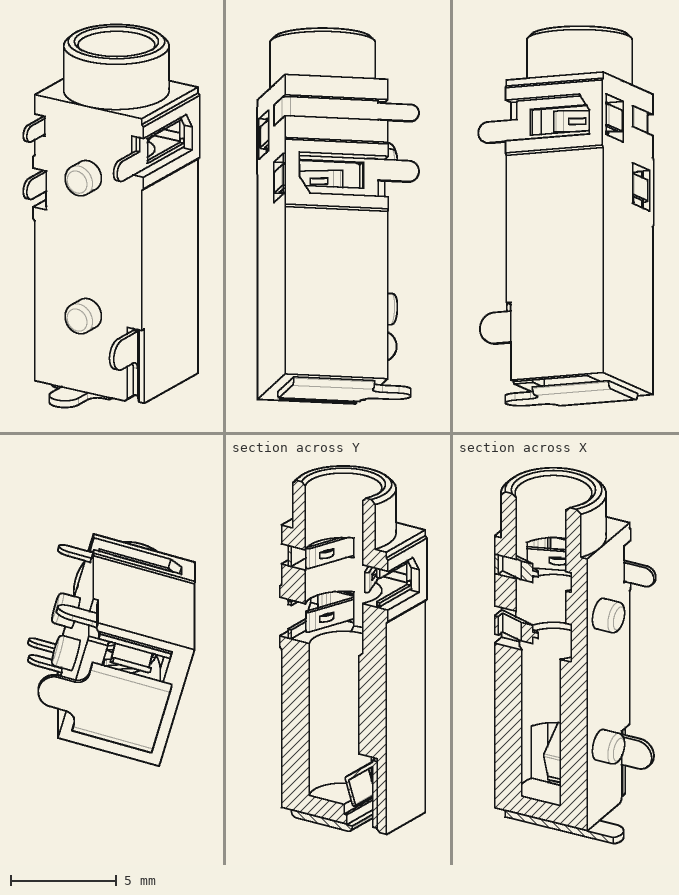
import cadquery as cq

total_length = 17.35
pad_to_pad_width = 6.2
block_width = 6.0
block_depth = 5.0
block_height = 14.5
sheet = 0.2
base_sheet = 0.35
leg_tip_y = -4.1

side_x = block_width / 2
pad_x = pad_to_pad_width / 2
back_y = block_depth / 2
front_y = -back_y

sleeve_top_z = total_length - base_sheet
sleeve_radius = block_depth / 2
sleeve_chamfer = 0.2
mouth_radius = 2.0
bore_radius = 1.82
lower_bore_radius = 1.61
mouth_depth = mouth_radius - bore_radius
bore_floor_z = 1.0

peg_heights = (4.03, 11.02)
peg_radius = 0.75
peg_length = 1.0
peg_rounding = 0.19

leaf_outer_x = 2.64
leaf_inner_x = leaf_outer_x - sheet
leaf_foot_y = -2.1
pocket_inner_x = 0.57
pocket_end_y = -lower_bore_radius
strip_width = 1.0
bend_radius = 0.25
arm_root = (-0.7, back_y - sheet / 2)
arm_bend = (-1.56, -0.17)
arm_tip = (-1.68, -0.5)
dimple_y = 0.47
dimple_length, dimple_height, dimple_depth = 0.82, 0.3, 0.17

notch_z = 13.01
notch_leg_width = 0.8

pad_bottom_z, pad_top_z = 8.1, 11.45
pad_slope = 0.1
turn_z = 11.15
recess_bottom_z, recess_top_z = 8.8, 10.75
taper_bottom_z = recess_bottom_z
taper_top_z = taper_bottom_z + bore_radius - lower_bore_radius
recess_end_y = 1.82
recess_corner_y, recess_corner_z = 1.3, 9.6
foot_gap_x = 2.35
frame_top_z = 10.69
framed_leg_width = 1.0
window_front_y, window_back_y = -1.4, 1.79
window_bottom_z, window_top_z = 9.25, 10.5

tip_inner_x, tip_outer_x = 2.2, 2.45
tip_recess_top_z = 3.76
tip_recess_depth = 0.25
tip_funnel_x = 2.7
tip_foot_y = -2.0
tip_lead_in = 0.15
tip_pocket_x = 0.59
tip_ledge_x, tip_ledge_z = 0.75, 0.5
tip_pocket_half = 1.51
tip_leaf_bottom_z, tip_leaf_top_z = 0.19, 3.65
tip_leg_z = 2.7
tip_leg_radius = 0.75
tip_shoulder_radius = 0.38
tip_arm_front_y, tip_arm_back_y = -0.97, 0.87
tip_arm_path = [(2.32, 3.5), (0.73, 2.35), (1.13, 1.13)]

base_left_x, base_right_x = -2.45, 1.05
base_front_y, base_back_y = -1.98, 1.95
base_rounding = 0.3
base_leg_x = -0.76
base_leg_radius = 0.75
base_shoulder_radius = 0.57


def box(x0, x1, y0, y1, z0, z1):
    """Block between two opposite corners."""
    return cq.Workplane("XY").box(x1 - x0, y1 - y0, z1 - z0, centered=False).translate((x0, y0, z0))


def half_turn(shape):
    """Turn a -X side feature half round about a Y-direction axis, onto the +X side."""
    return shape.rotate((0, 0, turn_z), (0, 1, turn_z), 180)


def side_leg(x0, x1, root_y, z_middle, width):
    """Flat leg in the YZ plane with a full-round end at leg_tip_y."""
    radius = width / 2
    return (
        cq.Workplane("YZ", origin=(x0, 0, 0))
        .moveTo(root_y, z_middle - radius)
        .lineTo(leg_tip_y + radius, z_middle - radius)
        .threePointArc((leg_tip_y, z_middle), (leg_tip_y + radius, z_middle + radius))
        .lineTo(root_y, z_middle + radius)
        .close()
        .extrude(x1 - x0)
    )


def bore():
    """Stepped socket with a chamfered mouth and a tapered step, as a solid to cut away."""
    return (
        cq.Workplane("XZ")
        .moveTo(0, bore_floor_z)
        .lineTo(lower_bore_radius, bore_floor_z)
        .lineTo(lower_bore_radius, taper_bottom_z)
        .lineTo(bore_radius, taper_top_z)
        .lineTo(bore_radius, sleeve_top_z - mouth_depth)
        .lineTo(mouth_radius, sleeve_top_z)
        .lineTo(0, sleeve_top_z)
        .close()
        .revolve(360, (0, 0, 0), (0, 1, 0))
    )


def pegs():
    """Round locating pegs on the -Y face."""
    shape = cq.Workplane("XY")
    for z in peg_heights:
        peg = (
            cq.Workplane("XZ", origin=(0, front_y, z))
            .circle(peg_radius)
            .extrude(peg_length)
            .faces("<Y")
            .edges()
            .fillet(peg_rounding)
        )
        shape = shape.add(peg)
    return shape.combine()


def side_pad():
    """Slightly raised pad with sloped ends on the -X side."""
    return (
        cq.Workplane("XZ", origin=(0, back_y, 0))
        .polyline([
            (-side_x, pad_bottom_z),
            (-pad_x, pad_bottom_z + pad_slope),
            (-pad_x, pad_top_z - pad_slope),
            (-side_x, pad_top_z),
            (-leaf_inner_x, pad_top_z),
            (-leaf_inner_x, pad_bottom_z),
        ])
        .close()
        .extrude(block_depth)
    )


def spring_pocket(z0, z1):
    """Room for a -X side leaf and its arm, open to the +Y face and to the bore."""
    leaf_slot = box(-leaf_outer_x, -leaf_inner_x, front_y, back_y, z0, z1)
    arm_room = box(-leaf_outer_x, -pocket_inner_x, pocket_end_y, back_y, z0, z1)
    return leaf_slot.union(arm_room)


def plain_spring_cut():
    """Notch across the -X face with its spring pocket."""
    z0 = notch_z - strip_width / 2
    z1 = notch_z + strip_width / 2
    notch = box(-pad_x, -leaf_outer_x, front_y, back_y, z0, z1)
    return notch.union(spring_pocket(z0, z1))


def framed_spring_cut():
    """Recess with a slanted corner, open to the -Y face, with its spring pocket."""
    recess = (
        cq.Workplane("YZ", origin=(-pad_x, 0, 0))
        .polyline([
            (front_y, recess_bottom_z),
            (recess_corner_y, recess_bottom_z),
            (recess_end_y, recess_corner_z),
            (recess_end_y, recess_top_z),
            (front_y, recess_top_z),
        ])
        .close()
        .extrude(pad_x - leaf_outer_x)
    )
    return recess.union(spring_pocket(recess_bottom_z, recess_top_z))


def foot_gap_cut():
    """Clearance behind the leg of the -X framed spring."""
    return box(-leaf_outer_x, -foot_gap_x, front_y, leaf_foot_y, recess_bottom_z, recess_top_z)


def tip_spring_cut():
    """Slot with a funnelled mouth, and a pocket that opens into the bore and the underside."""
    slot = (
        cq.Workplane("XY")
        .polyline([
            (tip_inner_x, front_y),
            (side_x, front_y),
            (side_x, front_y + tip_recess_depth),
            (tip_funnel_x, front_y + tip_recess_depth),
            (tip_outer_x, tip_foot_y),
            (tip_outer_x, tip_pocket_half),
            (tip_inner_x, tip_pocket_half),
        ])
        .close()
        .extrude(tip_recess_top_z)
    )
    pocket = (
        cq.Workplane("XZ", origin=(0, tip_pocket_half, 0))
        .polyline([
            (tip_ledge_x, 0),
            (tip_outer_x, 0),
            (tip_outer_x, tip_recess_top_z),
            (tip_pocket_x, tip_recess_top_z),
            (tip_pocket_x, tip_ledge_z),
            (tip_ledge_x, tip_ledge_z),
        ])
        .close()
        .extrude(2 * tip_pocket_half)
    )
    lead_in = (
        cq.Workplane("XZ", origin=(0, tip_pocket_half, 0))
        .polyline([
            (tip_inner_x - tip_lead_in, 0),
            (tip_outer_x + tip_lead_in, 0),
            (tip_outer_x, tip_lead_in),
            (tip_inner_x, tip_lead_in),
        ])
        .close()
        .extrude(tip_pocket_half - front_y)
    )
    return slot.union(pocket).union(lead_in)


def make_housing():
    block = box(-side_x, side_x, front_y, back_y, 0, block_height)
    sleeve = (
        cq.Workplane("XY", origin=(0, 0, block_height))
        .circle(sleeve_radius)
        .extrude(sleeve_top_z - block_height)
        .faces(">Z")
        .edges()
        .chamfer(sleeve_chamfer)
    )
    body = block.union(sleeve).union(side_pad()).union(half_turn(side_pad())).union(pegs())
    body = body.cut(bore()).cut(plain_spring_cut())
    body = body.cut(framed_spring_cut()).cut(foot_gap_cut()).cut(half_turn(framed_spring_cut()))
    return body.cut(tip_spring_cut())


def arm_dimple(z_middle, across):
    """Bowed contact ridge, starting at a distance across from the middle of the arm sheet."""
    run_x = arm_bend[0] - arm_root[0]
    run_y = arm_bend[1] - arm_root[1]
    middle_x = arm_root[0] + (dimple_y - arm_root[1]) * run_x / run_y
    arm_plane = cq.Plane(
        origin=(middle_x, dimple_y, z_middle - dimple_height / 2),
        xDir=(run_x, run_y, 0),
        normal=(0, 0, 1),
    )
    return (
        cq.Workplane(arm_plane)
        .moveTo(-dimple_length / 2, across)
        .threePointArc((0, across + dimple_depth), (dimple_length / 2, across))
        .close()
        .extrude(dimple_height)
    )


def spring_arm(z0):
    """Strip that rises in the -X leaf, folds over at the +Y face and runs back into the bore."""
    leaf_middle_x = -leaf_outer_x + sheet / 2
    fold_y = back_y - sheet / 2
    path = (
        cq.Workplane("XY", origin=(0, 0, z0))
        .moveTo(leaf_middle_x, window_back_y)
        .lineTo(leaf_middle_x, fold_y - bend_radius)
        .tangentArcPoint((leaf_middle_x + bend_radius, fold_y), relative=False)
        .lineTo(*arm_root)
        .lineTo(*arm_bend)
        .lineTo(*arm_tip)
    )
    strip = path.offset2D(sheet / 2).extrude(strip_width)
    z_middle = z0 + strip_width / 2
    return strip.cut(arm_dimple(z_middle, -sheet / 2)).union(arm_dimple(z_middle, sheet / 2))


def make_plain_spring():
    z0 = notch_z - strip_width / 2
    z1 = notch_z + strip_width / 2
    leaf = box(-leaf_outer_x, -leaf_inner_x, leaf_foot_y, window_back_y, z0, z1)
    leg = side_leg(-leaf_outer_x, -leaf_inner_x, leaf_foot_y, notch_z, notch_leg_width)
    return leaf.union(leg).union(spring_arm(z0))


def make_framed_spring():
    """Spring whose leaf is a window frame."""
    leaf_back_y = back_y - sheet / 2 - bend_radius
    leaf = box(-leaf_outer_x, -leaf_inner_x, leaf_foot_y, leaf_back_y, recess_bottom_z, frame_top_z)
    window = box(
        -leaf_outer_x, -leaf_inner_x, window_front_y, window_back_y, window_bottom_z, window_top_z
    )
    leg_z = frame_top_z - framed_leg_width / 2
    leg = side_leg(-leaf_outer_x, -leaf_inner_x, leaf_foot_y, leg_z, framed_leg_width)
    return leaf.cut(window).union(leg).union(spring_arm(window_bottom_z))


def make_tip_spring():
    leaf = box(
        tip_inner_x, tip_outer_x, tip_foot_y, tip_pocket_half, tip_leaf_bottom_z, tip_leaf_top_z
    )
    leg = side_leg(tip_inner_x, tip_outer_x, tip_foot_y, tip_leg_z, 2 * tip_leg_radius)
    leg_bottom_z = tip_leg_z - tip_leg_radius
    shoulder_y = tip_foot_y - tip_shoulder_radius
    shoulder = (
        cq.Workplane("YZ", origin=(tip_inner_x, 0, 0))
        .moveTo(tip_foot_y, leg_bottom_z)
        .lineTo(shoulder_y, leg_bottom_z)
        .radiusArc((tip_foot_y, leg_bottom_z - tip_shoulder_radius), tip_shoulder_radius)
        .close()
        .extrude(tip_outer_x - tip_inner_x)
    )
    arm = (
        cq.Workplane("XZ", origin=(0, tip_arm_back_y, 0))
        .polyline(tip_arm_path)
        .offset2D(sheet / 2)
        .extrude(tip_arm_back_y - tip_arm_front_y)
    )
    return leaf.union(leg).union(shoulder).union(arm)


def make_base_terminal():
    """Plate under the housing with rounded lower sides and a leg joined by round shoulders."""
    plate = box(base_left_x, base_right_x, base_front_y, base_back_y, -base_sheet, 0)
    plate = plate.faces("<Z").edges("|Y").fillet(base_rounding)
    leg_left = base_leg_x - base_leg_radius
    leg_right = base_leg_x + base_leg_radius
    leg_end_y = leg_tip_y + base_leg_radius
    shoulder_y = base_front_y - base_shoulder_radius
    leg = (
        cq.Workplane("XY", origin=(0, 0, -base_sheet))
        .moveTo(leg_left - base_shoulder_radius, base_front_y)
        .radiusArc((leg_left, shoulder_y), base_shoulder_radius)
        .lineTo(leg_left, leg_end_y)
        .threePointArc((base_leg_x, leg_tip_y), (leg_right, leg_end_y))
        .lineTo(leg_right, shoulder_y)
        .radiusArc((leg_right + base_shoulder_radius, base_front_y), base_shoulder_radius)
        .close()
        .extrude(base_sheet)
    )
    return plate.union(leg)


housing = make_housing()
plain_spring = make_plain_spring()
framed_springs = [make_framed_spring(), half_turn(make_framed_spring())]
tip_spring = make_tip_spring()
base_terminal = make_base_terminal()

result = cq.Compound.makeCompound([
    housing.val(),
    plain_spring.val(),
    *[spring.val() for spring in framed_springs],
    tip_spring.val(),
    base_terminal.val(),
])